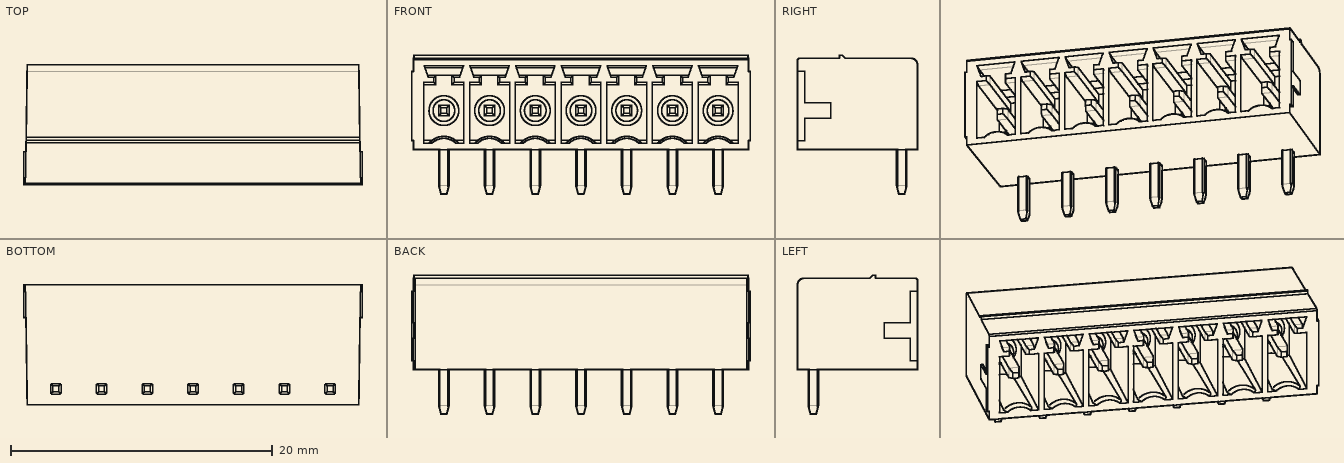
import cadquery as cq


CONTACT_COUNT = 7
PITCH = 3.5
CONTACT_HEIGHT = 2.98
LEG_Y = 7.98

OVERALL_LENGTH = 25.9
HOUSING_DEPTH = 9.2
HOUSING_HEIGHT = 7.0
FRONT_INSET = 0.13
BACK_INSET = 0.25
BACK_EDGE_RADIUS = 0.52
FRONT_EDGE_CHAMFER = 0.13

RIDGE_HEIGHT = 0.23
RIDGE_FRONT_Y = 3.2
RIDGE_CREST_BACK_Y = 3.42
RIDGE_BASE_BACK_Y = 3.65

PAD_BOTTOM = 0.67
PAD_TOP = 5.98
PAD_DEPTH = 0.55
TAB_HEIGHT = 1.17
TAB_DEPTH = 2.55

CAVITY_DEPTH = 6.48
CAVITY_HALF_WIDTH = 1.53
SHOULDER_Z = 4.97
NECK_HALF_WIDTH = 0.62
RAIL_TOP_Z = 5.67
SLOT_DEPTH = 5.18
SLOT_BOTTOM_HALF_WIDTH = 1.25
SLOT_TOP_HALF_WIDTH = 1.45
SLOT_TOP_Z = 6.27

MOUTH_DEPTH = 0.5
MOUTH_FLARE = 0.15

FLOOR_FRONT_Z = 0.5
FLOOR_BACK_Z = 0.7
HUMP_RADIUS = 1.48
HUMP_CREST_Z = 1.0

COLLAR_BASE_RADIUS = 1.15
COLLAR_TIP_RADIUS = 0.83
COLLAR_HEIGHT = 0.52

CONTACT_WIDTH = 0.8
ARM_TIP_Y = 1.22
TIP_WIDTH = 0.45
TIP_LENGTH = 0.67
LEG_LENGTH = 3.42
LEG_EDGE_CHAMFER = 0.1


def make_block():
    """Solid housing block with its ridge: a tapered plan trimmed by a side profile."""
    half = OVERALL_LENGTH / 2
    front_half = half - FRONT_INSET
    back_half = half - BACK_INSET
    plan = [
        (-front_half, 0),
        (front_half, 0),
        (back_half, HOUSING_DEPTH),
        (-back_half, HOUSING_DEPTH),
    ]
    ridge_top = HOUSING_HEIGHT + RIDGE_HEIGHT
    tall_block = cq.Workplane("XY").polyline(plan).close().extrude(ridge_top)
    side_profile = (
        cq.Workplane("YZ")
        .moveTo(0, 0)
        .lineTo(HOUSING_DEPTH, 0)
        .lineTo(HOUSING_DEPTH, HOUSING_HEIGHT - BACK_EDGE_RADIUS)
        .radiusArc((HOUSING_DEPTH - BACK_EDGE_RADIUS, HOUSING_HEIGHT), -BACK_EDGE_RADIUS)
        .lineTo(RIDGE_BASE_BACK_Y, HOUSING_HEIGHT)
        .lineTo(RIDGE_CREST_BACK_Y, ridge_top)
        .lineTo(RIDGE_FRONT_Y, ridge_top)
        .lineTo(RIDGE_FRONT_Y, HOUSING_HEIGHT)
        .lineTo(FRONT_EDGE_CHAMFER, HOUSING_HEIGHT)
        .lineTo(0, HOUSING_HEIGHT - FRONT_EDGE_CHAMFER)
        .close()
        .extrude(half, both=True)
    )
    return tall_block.intersect(side_profile)


def make_end_pads():
    """Pads and tabs as bars running the full length, showing only where they stand proud of the ends."""
    pad_bar = cq.Workplane("XY").box(
        OVERALL_LENGTH, PAD_DEPTH, PAD_TOP - PAD_BOTTOM, centered=(True, False, False)
    ).translate((0, 0, PAD_BOTTOM))
    tab_bar = cq.Workplane("XY").box(
        OVERALL_LENGTH, TAB_DEPTH, TAB_HEIGHT, centered=(True, False, True)
    ).translate((0, 0, CONTACT_HEIGHT))
    return pad_bar.union(tab_bar)


def cavity_outline(y, flare):
    """Closed outline of chamber, neck and slot at depth y, opened out by the flare above the chamber."""
    shoulder = SHOULDER_Z + flare
    neck = NECK_HALF_WIDTH + flare
    rail_top = RAIL_TOP_Z - flare
    slot_top = SLOT_TOP_Z + flare
    slot_side_slope = (SLOT_TOP_HALF_WIDTH - SLOT_BOTTOM_HALF_WIDTH) / (SLOT_TOP_Z - RAIL_TOP_Z)
    slot_bottom_half = SLOT_BOTTOM_HALF_WIDTH - flare * slot_side_slope
    slot_top_half = SLOT_TOP_HALF_WIDTH + flare * slot_side_slope
    right_side = [
        (CAVITY_HALF_WIDTH, FLOOR_FRONT_Z),
        (CAVITY_HALF_WIDTH, shoulder),
        (neck, shoulder),
        (neck, rail_top),
        (slot_bottom_half, rail_top),
        (slot_top_half, slot_top),
    ]
    left_side = [(-x, z) for x, z in reversed(right_side)]
    plane = cq.Plane((0, y, 0), (1, 0, 0), (0, -1, 0))
    return cq.Workplane(plane).polyline(right_side + left_side).close()


def pocket(width, bottom, top):
    """Rectangular space running from the lead-in to the back wall of the cavity."""
    return cq.Workplane("XY").box(
        width, CAVITY_DEPTH - MOUTH_DEPTH, top - bottom, centered=(True, False, False)
    ).translate((0, MOUTH_DEPTH, bottom))


def round_bar(front_radius, back_radius, front_y, back_y, axis_z):
    """Cone or cylinder lying along Y."""
    origin = cq.Vector(0, front_y, axis_z)
    direction = cq.Vector(0, 1, 0)
    length = back_y - front_y
    if front_radius == back_radius:
        return cq.Workplane(cq.Solid.makeCylinder(front_radius, length, origin, direction))
    return cq.Workplane(cq.Solid.makeCone(front_radius, back_radius, length, origin, direction))


def make_floor():
    """Sloping floor with its hump, whose front end drops away with the lead-in."""
    slope = (
        cq.Workplane("YZ")
        .polyline([(0, FLOOR_FRONT_Z), (CAVITY_DEPTH, FLOOR_FRONT_Z), (CAVITY_DEPTH, FLOOR_BACK_Z)])
        .close()
        .extrude(CAVITY_HALF_WIDTH, both=True)
    )
    axis_z = HUMP_CREST_Z - HUMP_RADIUS
    hump_nose = round_bar(HUMP_RADIUS - MOUTH_FLARE, HUMP_RADIUS, 0, MOUTH_DEPTH, axis_z)
    hump = round_bar(HUMP_RADIUS, HUMP_RADIUS, MOUTH_DEPTH, CAVITY_DEPTH, axis_z)
    return slope.union(hump_nose).union(hump)


def make_cavity():
    """Space inside one cavity, above its floor and around the collar on its back wall."""
    mouth_wire = cavity_outline(0, MOUTH_FLARE).val()
    throat_wire = cavity_outline(MOUTH_DEPTH, 0).val()
    mouth = cq.Workplane(cq.Solid.makeLoft([mouth_wire, throat_wire], True))
    throat = cavity_outline(MOUTH_DEPTH, 0).extrude(MOUTH_DEPTH - SLOT_DEPTH)
    chamber = pocket(2 * CAVITY_HALF_WIDTH, FLOOR_FRONT_Z, SHOULDER_Z)
    neck = pocket(2 * NECK_HALF_WIDTH, SHOULDER_Z, RAIL_TOP_Z)
    collar = round_bar(
        COLLAR_TIP_RADIUS, COLLAR_BASE_RADIUS, CAVITY_DEPTH - COLLAR_HEIGHT, CAVITY_DEPTH, CONTACT_HEIGHT
    )
    return mouth.union(throat).union(chamber).union(neck).cut(make_floor()).cut(collar)


def tapered_tip(plane):
    """Square tip narrowing along the plane's normal."""
    return (
        cq.Workplane(plane)
        .rect(CONTACT_WIDTH, CONTACT_WIDTH)
        .workplane(offset=TIP_LENGTH)
        .rect(TIP_WIDTH, TIP_WIDTH)
        .loft(ruled=True)
    )


def make_contact():
    """One bent contact, its arm pointing at the open front and its leg passing down out of the housing."""
    half = CONTACT_WIDTH / 2
    arm_start_y = ARM_TIP_Y + TIP_LENGTH
    arm_length = LEG_Y + half - arm_start_y
    arm = cq.Workplane("XY").box(
        CONTACT_WIDTH, arm_length, CONTACT_WIDTH, centered=(True, False, True)
    ).translate((0, arm_start_y, CONTACT_HEIGHT))
    arm_tip = tapered_tip(cq.Plane((0, arm_start_y, CONTACT_HEIGHT), (1, 0, 0), (0, -1, 0)))

    leg_taper_z = TIP_LENGTH - LEG_LENGTH
    leg_top_z = CONTACT_HEIGHT - half
    leg_shank = cq.Workplane("XY").box(
        CONTACT_WIDTH, CONTACT_WIDTH, leg_top_z - leg_taper_z, centered=(True, True, False)
    ).translate((0, LEG_Y, leg_taper_z))
    leg_tip = tapered_tip(cq.Plane((0, LEG_Y, leg_taper_z), (1, 0, 0), (0, 0, -1)))
    leg_section = (
        cq.Workplane("XY", origin=(0, LEG_Y, -LEG_LENGTH))
        .rect(CONTACT_WIDTH, CONTACT_WIDTH)
        .extrude(LEG_LENGTH + leg_top_z)
        .edges("|Z")
        .chamfer(LEG_EDGE_CHAMFER)
    )
    leg = leg_shank.union(leg_tip).intersect(leg_section)
    return arm.union(arm_tip).union(leg)


contact_positions = [(index - (CONTACT_COUNT - 1) / 2) * PITCH for index in range(CONTACT_COUNT)]

contact = make_contact()
contacts = [contact.translate((x, 0, 0)).solids().val() for x in contact_positions]

cavity = make_cavity()
housing = make_block().union(make_end_pads())
for x in contact_positions:
    housing = housing.cut(cavity.translate((x, 0, 0)))
    housing = housing.cut(contact.translate((x, 0, 0)))

result = cq.Compound.makeCompound([housing.solids().val(), *contacts])